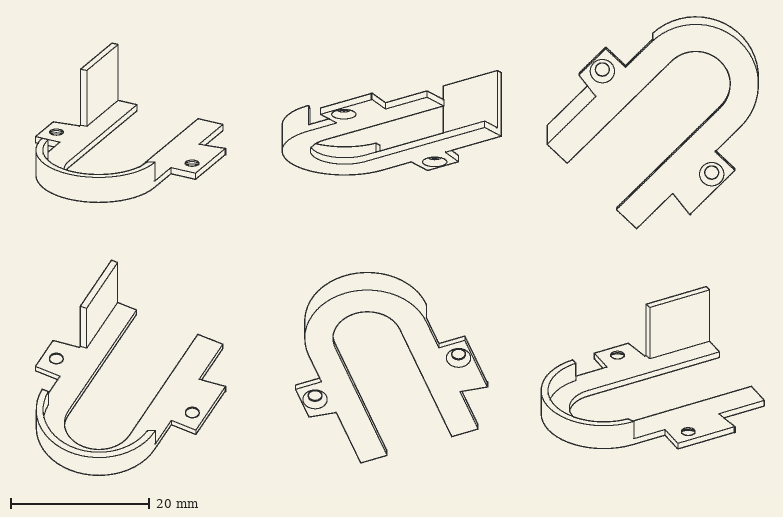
import cadquery as cq

total_length = 30.6
total_height = 10.0
outer_radius = 9.1
inner_radius = 5.0
arm_end_y = total_length - outer_radius

thickness = 1.0
rim_height = 4 * thickness
rim_inner_radius = outer_radius - thickness

tab_width = 4.0
tab_bottom_y = 5.25
tab_edge_x = outer_radius + tab_width
left_tab_outer_y = 10.85
left_tab_root_y = 11.42
right_tab_root_y = 14.05
right_tab_tip_y = 14.63
tip_overhang = 0.1
tip_height = 0.18

hole_diameter = 2.0
hole_x = outer_radius + tab_width / 2
hole_y = 8.02

bore_depth = 0.25
sink_depth = thickness - bore_depth
sink_diameter = hole_diameter + 2 * sink_depth

blade_outer_y = 11.63
blade_inner_y = 11.75

rim_left_y = -0.35
rim_right_inner_y = -0.28
rim_right_outer_y = 0.2


def round_ended_prism(radius, height):
    """Disc joined to a straight bar that reaches the open end of the U."""
    disc = cq.Workplane("XY").circle(radius).extrude(height)
    bar = cq.Workplane("XY").box(2 * radius, arm_end_y, height, centered=(True, False, False))
    return disc.union(bar)


def u_band(inner, height):
    """U-shaped band between the outer outline and an inner radius."""
    return round_ended_prism(outer_radius, height).cut(round_ended_prism(inner, height))


def prism(points, height):
    return cq.Workplane("XY").polyline(points).close().extrude(height)


def screw_hole(x):
    """Cutter for a straight bore that opens into a cone at the base plane."""
    bore = cq.Workplane("XY").center(x, hole_y).circle(hole_diameter / 2).extrude(thickness)
    sink = cq.Solid.makeCone(sink_diameter / 2, hole_diameter / 2, sink_depth, pnt=cq.Vector(x, hole_y, 0))
    return bore.union(cq.Workplane(obj=sink))


def make_tabs():
    left = prism(
        [
            (-inner_radius, tab_bottom_y),
            (-tab_edge_x, tab_bottom_y),
            (-tab_edge_x, left_tab_outer_y),
            (-outer_radius, left_tab_root_y),
            (-inner_radius, left_tab_root_y),
        ],
        thickness,
    )
    right = prism(
        [
            (inner_radius, tab_bottom_y),
            (tab_edge_x, tab_bottom_y),
            (tab_edge_x, right_tab_tip_y - tip_height),
            (tab_edge_x + tip_overhang, right_tab_tip_y - tip_height),
            (tab_edge_x + tip_overhang, right_tab_tip_y),
            (outer_radius, right_tab_root_y),
            (inner_radius, right_tab_root_y),
        ],
        thickness,
    )
    return left.union(right).cut(screw_hole(-hole_x)).cut(screw_hole(hole_x))


def make_blade():
    blade_inner_x = -outer_radius + thickness
    return prism(
        [
            (-outer_radius, blade_outer_y),
            (blade_inner_x, blade_inner_y),
            (blade_inner_x, arm_end_y),
            (-outer_radius, arm_end_y),
        ],
        total_height,
    )


def make_rim():
    keep = prism(
        [
            (-outer_radius, -outer_radius),
            (outer_radius, -outer_radius),
            (outer_radius, rim_right_outer_y),
            (rim_inner_radius, rim_right_inner_y),
            (0, rim_left_y),
            (-outer_radius, rim_left_y),
        ],
        rim_height,
    )
    return u_band(rim_inner_radius, rim_height).intersect(keep)


plate = u_band(inner_radius, thickness)
result = plate.union(make_tabs()).union(make_blade()).union(make_rim())